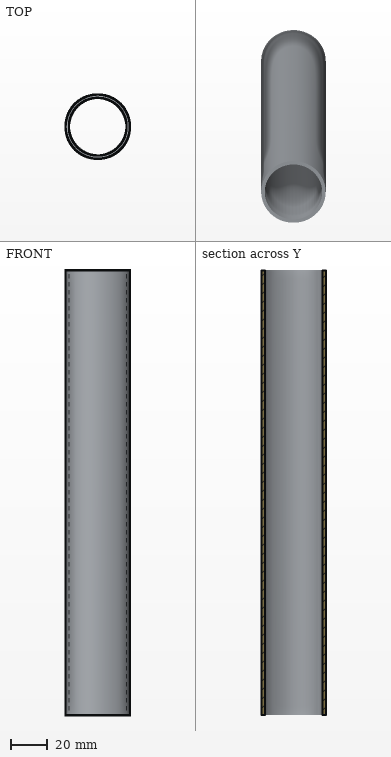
import cadquery as cq

length = 242.0
outer_diameter = 35.0
wall_thickness = 2.0
inner_diameter = outer_diameter - 2 * wall_thickness

result = (
    cq.Workplane("XY")
    .circle(outer_diameter / 2)
    .circle(inner_diameter / 2)
    .extrude(length)
)